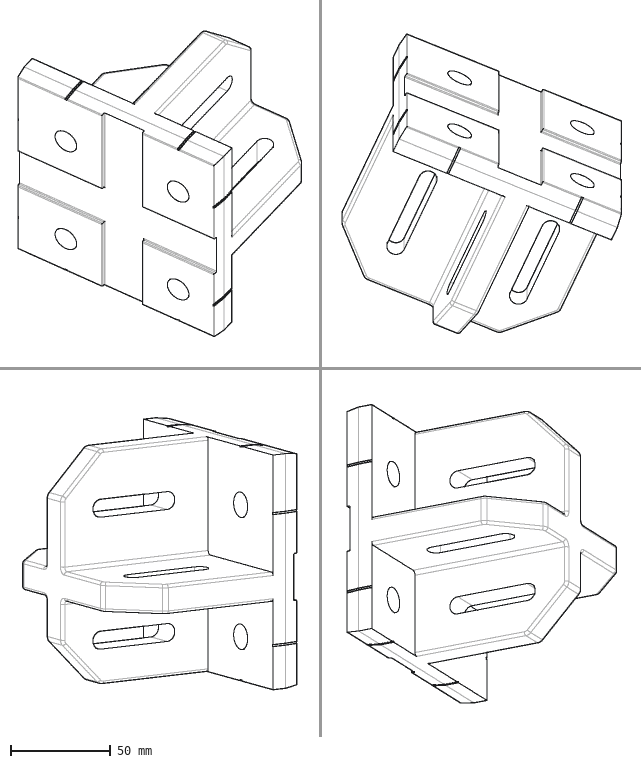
import cadquery as cq

SIDE = 120.0
HALF = SIDE / 2
LENGTH = 102.5
BASE_DEPTH = 15.0
TAPER_DEPTH = BASE_DEPTH / 2
TAPER_INSET = 1.0

CHANNEL_WIDTH = 24.0
CHANNEL_DEPTH = 2.0
PAD_ROUND = 0.5

WING_THICKNESS = 15.0
WING_CENTER = WING_THICKNESS / 2
WING_CORNER_CUT = 23.0
WING_CORNER_RADIUS = 4.0
EDGE_RADIUS = 1.5
INNER_RADIUS = 2.0

CHANNEL_CENTER = WING_CENTER / 2

STATIONS = (-30.0, 37.5)
HOLE_DIAMETER = 13.0
SLOT_WIDTH = 9.1
SLOT_LENGTH = 49.0
SLOT_CENTER_Y = 59.5
NOTCH_WIDTH = 1.0
NOTCH_DEPTH = 0.5

BEHIND_BASE = cq.selectors.BoxSelector((-SIDE, BASE_DEPTH, -SIDE), (SIDE, 2 * LENGTH, SIDE))


def to_upright(level_feature):
    """Swap X with -Z, which turns a level feature into its upright twin."""
    turned = level_feature.mirror("XY")
    return turned.rotate((0, 0, 0), (0, 1, 0), 90)


def make_level_channel():
    """Channel along X with rounded corners along its floor."""
    channel = (
        cq.Workplane("XZ", origin=(0, 0, -CHANNEL_CENTER))
        .rect(SIDE, CHANNEL_WIDTH)
        .extrude(-CHANNEL_DEPTH)
    )
    return channel.faces(">Y").edges("|X").fillet(PAD_ROUND)


def make_base():
    """Square plate, tapered towards its front and divided into four round-edged pads."""
    front = SIDE - 2 * TAPER_INSET
    rear_slab = (
        cq.Workplane("XZ", origin=(0, TAPER_DEPTH, 0))
        .rect(SIDE, SIDE)
        .extrude(TAPER_DEPTH - BASE_DEPTH)
    )
    tapered_slab = (
        cq.Workplane("XZ", origin=(0, TAPER_DEPTH, 0))
        .rect(SIDE, SIDE)
        .workplane(offset=TAPER_DEPTH)
        .rect(front, front)
        .loft()
    )
    base = rear_slab.union(tapered_slab)
    level_channel = make_level_channel()
    base = base.cut(level_channel).cut(to_upright(level_channel))
    return base.faces("<Y").edges().fillet(PAD_ROUND)


def make_level_wing():
    """Wing normal to Z with its two rear corners cut at 45 degrees and blended."""
    corner_y = LENGTH - WING_CORNER_CUT
    corner_x = HALF - WING_CORNER_CUT
    outline = [
        (-HALF, TAPER_DEPTH),
        (HALF, TAPER_DEPTH),
        (HALF, corner_y),
        (corner_x, LENGTH),
        (-corner_x, LENGTH),
        (-HALF, corner_y),
    ]
    wing = cq.Workplane("XY").polyline(outline).close().extrude(-WING_THICKNESS)
    return wing.edges(BEHIND_BASE).edges("|Z").fillet(WING_CORNER_RADIUS)


def make_wings():
    """Both wings joined, with rounded outer edges and filleted inner corners."""
    level = make_level_wing()
    wings = level.union(to_upright(level))
    core = cq.selectors.BoxSelector(
        (-WING_CENTER, BASE_DEPTH, -3 * WING_CENTER),
        (3 * WING_CENTER, LENGTH, WING_CENTER),
    )
    wings = wings.edges("|Y").edges(core).fillet(INNER_RADIUS)
    return wings.edges(BEHIND_BASE).fillet(EDGE_RADIUS)


def make_level_slots():
    """Slots through the level wing, one on each side of the upright wing."""
    return (
        cq.Workplane("XY")
        .pushPoints([(x, SLOT_CENTER_Y) for x in STATIONS])
        .slot2D(SLOT_LENGTH, SLOT_WIDTH, angle=90)
        .extrude(-WING_THICKNESS)
    )


def make_bolt_holes():
    """Four holes through the plate, one in each pad."""
    centers = [(x, -z) for x in STATIONS for z in STATIONS]
    return cq.Workplane("XZ").pushPoints(centers).circle(HOLE_DIAMETER / 2).extrude(-BASE_DEPTH)


def make_top_notches():
    """Shallow index notches in the top rim, of constant depth down the taper."""
    floor = HALF - NOTCH_DEPTH
    profile = [
        (0, floor - TAPER_INSET),
        (TAPER_DEPTH, floor),
        (BASE_DEPTH, floor),
        (BASE_DEPTH, HALF),
        (0, HALF),
    ]
    notch = cq.Workplane("YZ").polyline(profile).close().extrude(NOTCH_WIDTH / 2, both=True)
    left, right = [notch.translate((x, 0, 0)) for x in STATIONS]
    return left.union(right)


level_slots = make_level_slots()
wings = make_wings().cut(level_slots).cut(to_upright(level_slots))
result = make_base().union(wings).cut(make_bolt_holes())

top_notches = make_top_notches()
for notches in (top_notches, top_notches.mirror("XY")):
    result = result.cut(notches).cut(to_upright(notches))